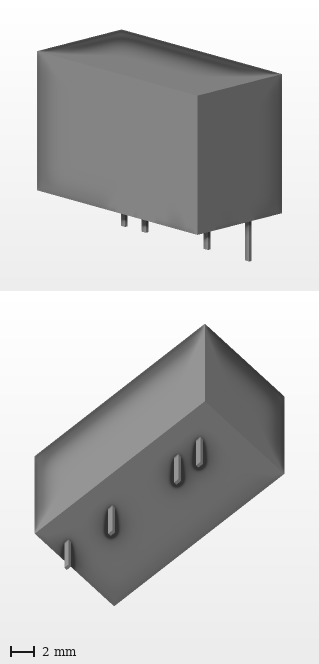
import cadquery as cq

length = 19.65
depth = 9.95
total_height = 16.25
pin_length = 3.99
housing_height = total_height - pin_length

pin_width = 0.51
pin_thickness = 0.3
pin_pitch = 2.53
first_pin_x = -6.88
pin_row_y = 2.45
pin_grid_steps = [0, 1, 4, 6]

marker_diameter = 1.5
marker_thickness = 0.1
marker_z = 2.12


def make_marker():
    """Disc whose outer face is flush with the front of the housing."""
    front_plane = cq.Plane(origin=(first_pin_x, -depth / 2, marker_z), xDir=(1, 0, 0), normal=(0, 1, 0))
    return cq.Workplane(front_plane).circle(marker_diameter / 2).extrude(marker_thickness)


def make_housing(marker):
    """Plain block with a recess that fits the marker."""
    block = cq.Workplane("XY").box(length, depth, housing_height, centered=(True, True, False))
    return block.cut(marker)


def make_pin(grid_step):
    """Rectangular pin that meets the underside of the housing."""
    pin_x = first_pin_x + grid_step * pin_pitch
    return (
        cq.Workplane("XY")
        .center(pin_x, pin_row_y)
        .rect(pin_width, pin_thickness)
        .extrude(-pin_length)
    )


marker = make_marker()
housing = make_housing(marker)
pins = [make_pin(grid_step) for grid_step in pin_grid_steps]

result = cq.Compound.makeCompound([housing.val(), marker.val(), *[pin.val() for pin in pins]])